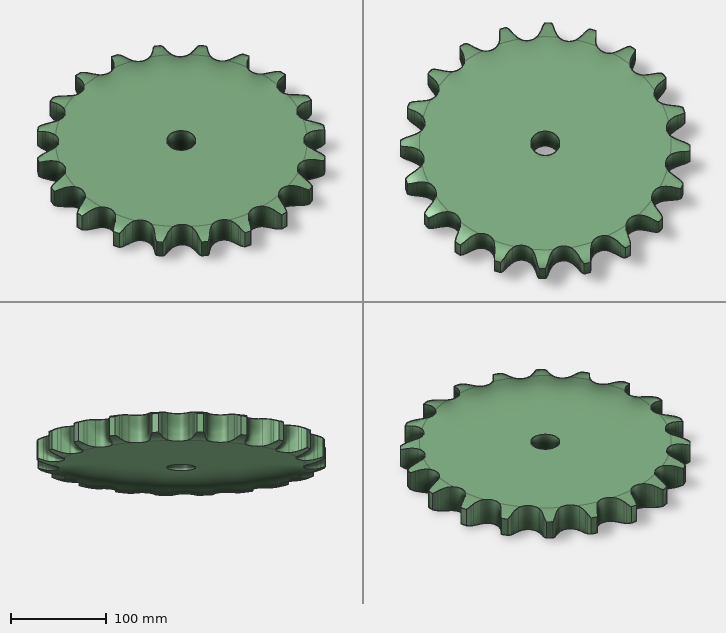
import cadquery as cq
import math

teeth = 20
chain_pitch = 44.5
roller_diameter = 28.0
outer_diameter = 303.0
thickness = 29.5
bore_diameter = 30.0
flat_face_radius = 131.5
side_radius = chain_pitch

outer_radius = outer_diameter / 2

half_pitch_angle = 180 / teeth
pitch_radius = chain_pitch / 2 / math.sin(math.radians(half_pitch_angle))
seating_clearance = 0.0025 * roller_diameter
seating_radius = roller_diameter / 2 + seating_clearance
seating_angle = 35 + 60 / teeth
working_angle = 18 - 56 / teeth
working_center_offset = 0.8 * roller_diameter
working_radius = seating_radius + working_center_offset
tip_center_offset = 1.4 * roller_diameter


def polar(center, radius, degrees):
    """Point at a distance and direction from a center."""
    angle = math.radians(degrees)
    return center[0] + radius * math.cos(angle), center[1] + radius * math.sin(angle)


def rotated(point, degrees):
    """Point turned about the sprocket axis."""
    direction = math.degrees(math.atan2(point[1], point[0]))
    return polar((0, 0), math.hypot(*point), direction + degrees)


def mirrored(point):
    """Point reflected across the center line of the gap on +Y."""
    return -point[0], point[1]


roller_center = (0, pitch_radius)
gap_bottom = polar(roller_center, seating_radius, -90)
seat_end = polar(roller_center, seating_radius, -seating_angle)

working_center = polar(roller_center, working_center_offset, 180 - seating_angle)
line_angle = seating_angle - working_angle
working_mid = polar(working_center, working_radius, -(seating_angle + line_angle) / 2)
working_end = polar(working_center, working_radius, -line_angle)

tip_center = polar(roller_center, tip_center_offset, -half_pitch_angle)
normal = polar((0, 0), 1, -line_angle)
tip_radius = (
    (tip_center[0] - working_center[0]) * normal[0]
    + (tip_center[1] - working_center[1]) * normal[1]
    - working_radius
)
line_end = polar(tip_center, tip_radius, 180 - line_angle)

tip_center_radius = math.hypot(*tip_center)
tip_center_direction = math.degrees(math.atan2(tip_center[1], tip_center[0]))
tip_offset_angle = math.degrees(math.acos(
    (outer_radius**2 + tip_center_radius**2 - tip_radius**2) / (2 * outer_radius * tip_center_radius)
))
tip_start = polar((0, 0), outer_radius, tip_center_direction + tip_offset_angle)
tip_start_angle = math.degrees(math.atan2(tip_start[1] - tip_center[1], tip_start[0] - tip_center[0]))
tip_mid = polar(tip_center, tip_radius, (tip_start_angle + 180 - line_angle) / 2)
tooth_top = polar((0, 0), outer_radius, 90 - half_pitch_angle)


def toothed_blank():
    """Plate with the full tooth outline, drawn clockwise gap by gap."""
    outline = cq.Workplane("XY", origin=(0, 0, -thickness / 2)).moveTo(*mirrored(tip_start))
    for tooth in range(teeth):
        turn = -tooth * 360 / teeth

        def right(point):
            return rotated(point, turn)

        def left(point):
            return rotated(mirrored(point), turn)

        next_tip = rotated(mirrored(tip_start), turn - 360 / teeth)
        outline = (
            outline.threePointArc(left(tip_mid), left(line_end))
            .lineTo(*left(working_end))
            .threePointArc(left(working_mid), left(seat_end))
            .threePointArc(right(gap_bottom), right(seat_end))
            .threePointArc(right(working_mid), right(working_end))
            .lineTo(*right(line_end))
            .threePointArc(right(tip_mid), right(tip_start))
            .threePointArc(right(tooth_top), next_tip)
        )
    return outline.close().extrude(thickness)


def rounded_envelope():
    """Disc whose rim curves in on both sides, tangent to the flat faces."""
    half = thickness / 2

    def side_height(radius):
        return half - side_radius + math.sqrt(side_radius**2 - (radius - flat_face_radius) ** 2)

    mid_radius = (flat_face_radius + outer_radius) / 2
    rim = outer_radius
    return (
        cq.Workplane("XZ")
        .moveTo(0, -half)
        .lineTo(flat_face_radius, -half)
        .threePointArc((mid_radius, -side_height(mid_radius)), (rim, -side_height(rim)))
        .lineTo(rim, side_height(rim))
        .threePointArc((mid_radius, side_height(mid_radius)), (flat_face_radius, half))
        .lineTo(0, half)
        .close()
        .revolve(360, (0, 0, 0), (0, 1, 0))
    )


sprocket = toothed_blank().intersect(rounded_envelope())
result = sprocket.faces(">Z").workplane(origin=(0, 0, 0)).hole(bore_diameter)